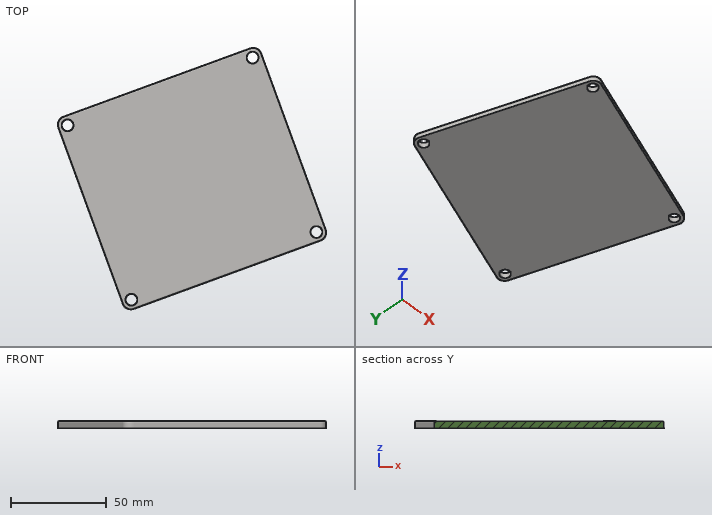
import cadquery as cq

plate_length = 113.0
plate_width = 107.1
thickness = 4.0
corner_radius = 4.5
rim_radius = 1.0
hole_diameter = 6.0
hole_spacing_long = 103.0
hole_spacing_short = 97.1
turn_angle = 20.1


def rounded_plate():
    """Flat plate with rounded corners and a rounded upper rim."""
    blank = cq.Workplane("XY").rect(plate_length, plate_width).extrude(thickness)
    blank = blank.edges("|Z").fillet(corner_radius)
    return blank.faces(">Z").edges().fillet(rim_radius)


def corner_holes():
    """Cylinders for the through hole near each corner."""
    centres = cq.Workplane("XY").rarray(hole_spacing_long, hole_spacing_short, 2, 2)
    return centres.circle(hole_diameter / 2).extrude(thickness)


plate = rounded_plate().cut(corner_holes())
result = plate.rotate((0, 0, 0), (0, 0, 1), turn_angle)